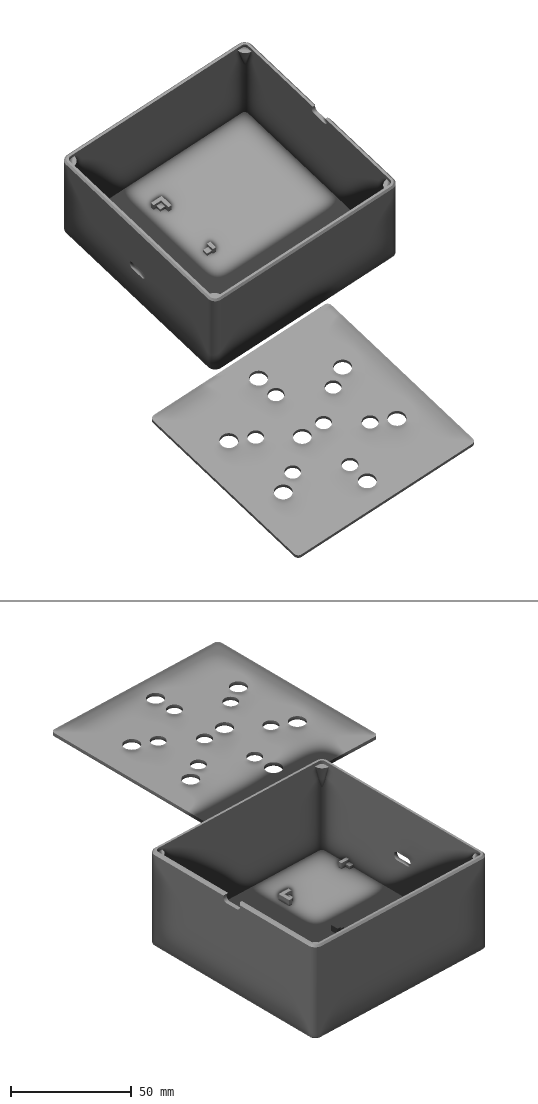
import cadquery as cq
import math

total_length = 213

box_size = 99.9
box_height = 47.0
box_front = 48.5
box_corner_radius = 3.8
wall = 2.0
floor_thickness = 2.1
edge_chamfer = 0.9
box_center_x = box_size / 2
box_center_y = box_front + box_size / 2
cavity_size = box_size - 2 * wall
cavity_height = box_height - floor_thickness

slot_length = 10.0
slot_height = 4.0
front_slot_z = 20.7
back_slot_drop = 1.7
back_slot_z = box_height - back_slot_drop

lid_size = 96.0
lid_thickness = 1.7
lid_corner_radius = 2.1
lid_bottom_z = 24.5
lid_center_x = total_length - lid_size / 2
lid_center_y = lid_size / 2

large_hole = 7.9
small_hole = 7.0
large_ring_radius = 35.4
small_ring_radius = 24.0
center_hole_offset = 5.8
holes_per_ring = 6

post_radius = 4.0
post_length = 14.5
post_top_z = box_height - lid_thickness

bracket_span = 66.9
bracket_back_y = box_front + 40.9
bracket_thickness = 1.7
back_arm_x = 6.4
back_arm_y = 5.8
rail_length = 4.5
bracket_height = 3.0
ledge_size = 2.5
front_ledge_length = 2.1
ledge_height = 1.5
stop_width = 3.8
stop_ledge_width = 2.5


def slab(width, depth, height, corner_radius):
    """Block on z = 0, centred in x and y, with rounded upright edges."""
    block = cq.Workplane("XY").box(width, depth, height, centered=(True, True, False))
    return block.edges("|Z").fillet(corner_radius)


def floor_block(x_start, y_start, width, depth, height):
    """Block standing on the floor, placed by its front-left corner."""
    block = cq.Workplane("XY").box(width, depth, height, centered=False)
    return block.translate((x_start, y_start, floor_thickness))


def shell():
    """Open box with rounded corners and chamfered outer edges at top and bottom."""
    outer = slab(box_size, box_size, box_height, box_corner_radius).faces("<Z or >Z").chamfer(edge_chamfer)
    cavity = slab(cavity_size, cavity_size, cavity_height, box_corner_radius - wall)
    hollow = outer.cut(cavity.translate((0, 0, floor_thickness)))
    return hollow.translate((box_center_x, box_center_y, 0))


def wall_slot(wall_y, z):
    """Round-ended slot along X through the wall centred on wall_y."""
    half_cut = 2 * wall
    return (
        cq.Workplane("XZ", origin=(box_center_x, wall_y, z))
        .slot2D(slot_length, slot_height)
        .extrude(half_cut, both=True)
    )


def corner_posts():
    """Cones centred on the cavity corners, flat on top and pointing down."""
    post = (
        cq.Workplane("XZ")
        .lineTo(post_radius, 0)
        .lineTo(0, -post_length)
        .close()
        .revolve(360, (0, 0), (0, 1))
    )
    corners = cq.Workplane("XY", origin=(box_center_x, box_center_y, post_top_z)).rect(
        cavity_size, cavity_size, forConstruction=True
    ).vertices()
    posts = corners.eachpoint(lambda place: post.val().moved(place), combine="a")
    limit_size = box_size - wall
    limit = slab(limit_size, limit_size, box_height, box_corner_radius - wall / 2)
    return posts.intersect(limit.translate((box_center_x, box_center_y, 0)))


def left_brackets():
    """Back-left angle and front-left rail, each with a lower ledge for the board."""
    left = box_center_x - bracket_span / 2
    inner = left + bracket_thickness
    back_inner_y = bracket_back_y - bracket_thickness
    front_y = box_front + wall
    back_arm = floor_block(left, back_inner_y, back_arm_x, bracket_thickness, bracket_height)
    side_arm = floor_block(left, bracket_back_y - back_arm_y, bracket_thickness, back_arm_y, bracket_height)
    back_ledge = floor_block(inner, back_inner_y - ledge_size, ledge_size, ledge_size, ledge_height)
    rail = floor_block(left, front_y, bracket_thickness, rail_length, bracket_height)
    front_ledge = floor_block(inner, front_y, ledge_size, front_ledge_length, ledge_height)
    return back_arm.union(side_arm).union(back_ledge).union(rail).union(front_ledge)


def middle_stop():
    """Short stop behind the board with a lower ledge in front of it."""
    back_inner_y = bracket_back_y - bracket_thickness
    stop_left = box_center_x - stop_width / 2
    stop = floor_block(stop_left, back_inner_y, stop_width, bracket_thickness, bracket_height)
    ledge_left = box_center_x - stop_ledge_width / 2
    ledge = floor_block(ledge_left, back_inner_y - ledge_size, stop_ledge_width, ledge_size, ledge_height)
    return stop.union(ledge)


def build_box():
    """Box with posts, brackets, front cable slot and notch in the back rim."""
    brackets = left_brackets()
    right_brackets = brackets.mirror("YZ", (box_center_x, 0, 0))
    body = shell().union(corner_posts())
    body = body.union(brackets).union(right_brackets).union(middle_stop())
    body = body.cut(wall_slot(box_front + wall / 2, front_slot_z))
    return body.cut(wall_slot(box_front + box_size - wall / 2, back_slot_z))


def ring(radius):
    """Evenly spaced places on a circle, the first one on +X."""
    step = 2 * math.pi / holes_per_ring
    return [(radius * math.cos(i * step), radius * math.sin(i * step)) for i in range(holes_per_ring)]


def build_lid():
    """Perforated lid lying level beside the box."""
    plate = slab(lid_size, lid_size, lid_thickness, lid_corner_radius)
    large_places = ring(large_ring_radius) + [(0, -center_hole_offset)]
    small_places = ring(small_ring_radius) + [(0, center_hole_offset)]
    for diameter, places in ((large_hole, large_places), (small_hole, small_places)):
        holes = cq.Workplane("XY").pushPoints(places).circle(diameter / 2).extrude(lid_thickness)
        plate = plate.cut(holes)
    return plate.translate((lid_center_x, lid_center_y, lid_bottom_z))


box = build_box()
lid = build_lid()

result = cq.Compound.makeCompound([box.val(), lid.val()])